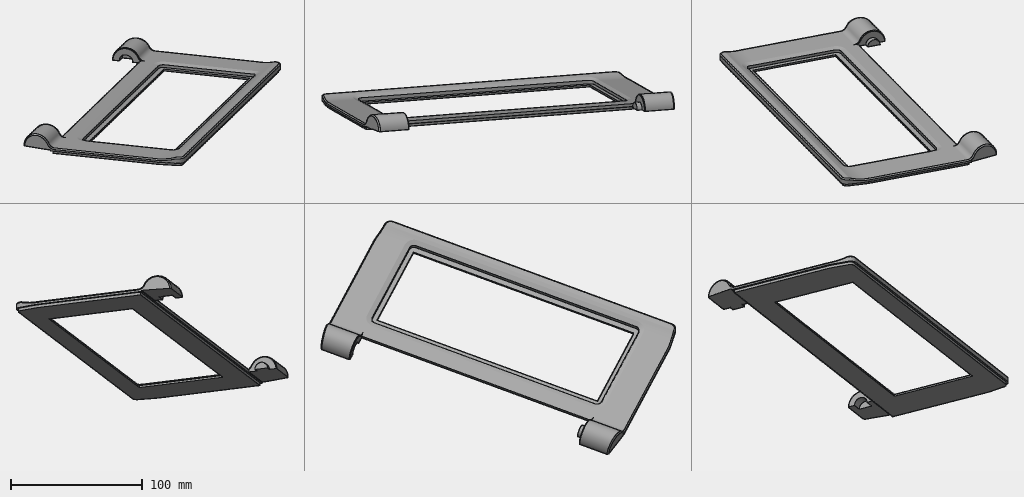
import cadquery as cq
import math

LENGTH_X = 127.7
LENGTH_Y = 245.5
HEIGHT = 14.0

LEDGE_Z = 1.5
STEP_Z = 2.2
HINGE_Z = 3.0
PLATE_Z = 4.7
RIM_Z = 6.9

KNUCKLE_END_Y = 119.5
LEFT_BEND_X = 20.5
RIGHT_BEND_X = 108.5
RIM_END_Y = 120.0
BEND_RADIUS = 24.5
CORNER_RADIUS = 5.0
PLATE_LEFT_X = 22.5
FOOT_INSET = 1.5
EDGE_CHAMFER = 1.0

RAMP_START_X = 108.3
RAMP_END_X = 122.8
RAMP_CREST_RADIUS = 2.0

KNUCKLE_RADIUS = HEIGHT - HINGE_Z
KNUCKLE_INNER_Y = 95.3
KNUCKLE_ROOT_X = 25.8
INNER_CHAMFER = 0.61
PIN_RADIUS = 5.2
PIN_LENGTH = 4.0
SOCKET_CLEARANCE = 0.2
SOCKET_DEPTH = 7.4

RECESS_LEFT_X = 38.3
RECESS_RIGHT_X = 115.5
RECESS_HALF_Y = 95.3
RECESS_CORNER_RADIUS = 3.7
RECESS_SLOPE_WIDTH = 4.0
RECESS_SLOPE_DROP = 1.0
LEDGE_WIDTH_X = 4.5
LEDGE_WIDTH_Y = 3.7

HALF_Y = LENGTH_Y / 2
TOLERANCE = 0.02


def extrude_along_y(profile, y_from, y_to):
    """Extrude a closed XZ profile between two Y positions."""
    return profile.extrude(y_from - y_to).translate((0, y_from, 0))


def box_between(x_range, half_y, z_range):
    """Box between two X and two Z positions, centred on Y = 0."""
    size_x = x_range[1] - x_range[0]
    size_z = z_range[1] - z_range[0]
    return (
        cq.Workplane("XY")
        .box(size_x, 2 * half_y, size_z, centered=(False, True, False))
        .translate((x_range[0], 0, z_range[0]))
    )


def plan_prism():
    """Vertical prism of the plan outline: tapered ends, blended bends and rounded rim corners."""
    lower_side = [
        (0, -KNUCKLE_END_Y),
        (LEFT_BEND_X, -HALF_Y),
        (RIGHT_BEND_X, -HALF_Y),
        (LENGTH_X, -RIM_END_Y),
    ]
    upper_side = [(x, -y) for x, y in reversed(lower_side)]
    prism = cq.Workplane("XY").polyline(lower_side + upper_side).close().extrude(HEIGHT)
    bends = cq.selectors.BoxSelector((LEFT_BEND_X - 2.5, -LENGTH_Y, 0), (RIGHT_BEND_X + 2.5, LENGTH_Y, HEIGHT))
    prism = prism.edges("|Z").edges(bends).fillet(BEND_RADIUS)
    return prism.edges("|Z and >X").fillet(CORNER_RADIUS)


def plate():
    """Flat plate whose right side curves up to the raised rim."""
    run = RAMP_END_X - RAMP_START_X
    rise = RIM_Z - PLATE_Z
    radius_sum = (run**2 + rise**2) / (2 * rise)
    foot_radius = radius_sum - RAMP_CREST_RADIUS
    angle = math.asin(run / radius_sum)

    def foot_point(a):
        return RAMP_START_X + foot_radius * math.sin(a), PLATE_Z + foot_radius * (1 - math.cos(a))

    def crest_point(a):
        return RAMP_END_X - RAMP_CREST_RADIUS * math.sin(a), RIM_Z - RAMP_CREST_RADIUS * (1 - math.cos(a))

    profile = (
        cq.Workplane("XZ")
        .moveTo(PLATE_LEFT_X, STEP_Z)
        .lineTo(PLATE_LEFT_X, PLATE_Z)
        .lineTo(RAMP_START_X, PLATE_Z)
        .threePointArc(foot_point(angle / 2), foot_point(angle))
        .threePointArc(crest_point(angle / 2), (RAMP_END_X, RIM_Z))
        .lineTo(LENGTH_X, RIM_Z)
        .lineTo(LENGTH_X, STEP_Z)
        .close()
    )
    return extrude_along_y(profile, -HALF_Y, HALF_Y)


def knuckle():
    """Half-round knuckle on the -Y side, flowing into the plate through a concave blend."""
    reach = KNUCKLE_ROOT_X - KNUCKLE_RADIUS
    drop = PLATE_Z - HINGE_Z
    blend_radius = (reach**2 + drop**2 - KNUCKLE_RADIUS**2) / (2 * (KNUCKLE_RADIUS - drop))
    blend_z = PLATE_Z + blend_radius
    tangent_angle = math.atan2(blend_z - HINGE_Z, reach)
    tangent_point = (
        KNUCKLE_RADIUS + KNUCKLE_RADIUS * math.cos(tangent_angle),
        HINGE_Z + KNUCKLE_RADIUS * math.sin(tangent_angle),
    )
    blend_middle_angle = (tangent_angle + math.pi / 2) / 2
    blend_middle = (
        KNUCKLE_ROOT_X - blend_radius * math.cos(blend_middle_angle),
        blend_z - blend_radius * math.sin(blend_middle_angle),
    )
    profile = (
        cq.Workplane("XZ")
        .moveTo(0, HINGE_Z)
        .threePointArc((KNUCKLE_RADIUS, HEIGHT), tangent_point)
        .threePointArc(blend_middle, (KNUCKLE_ROOT_X, PLATE_Z))
        .lineTo(KNUCKLE_ROOT_X, HINGE_Z)
        .close()
    )
    solid = extrude_along_y(profile, -HALF_Y, -KNUCKLE_INNER_Y)
    return solid.faces(">Y").edges("%CIRCLE").chamfer(INNER_CHAMFER)


def half_rod(radius, y_from, y_to):
    """Upper half of a rod on the hinge axis."""
    profile = (
        cq.Workplane("XZ")
        .moveTo(KNUCKLE_RADIUS - radius, HINGE_Z)
        .threePointArc((KNUCKLE_RADIUS, HINGE_Z + radius), (KNUCKLE_RADIUS + radius, HINGE_Z))
        .close()
    )
    return extrude_along_y(profile, y_from, y_to)


def foot():
    """Lower layer, set in from the outline of the plate all round."""
    layer = plan_prism().intersect(box_between((PLATE_LEFT_X, LENGTH_X), HALF_Y, (0, STEP_Z)))
    return layer.faces("<Z").wires().toPending().offset2D(-FOOT_INSET).extrude(STEP_Z, combine=False)


def recess_walls():
    """Cutter with upright walls and rounded corners, reaching down to the ledge around the window."""
    cutter = box_between((RECESS_LEFT_X, RECESS_RIGHT_X), RECESS_HALF_Y, (LEDGE_Z, HEIGHT))
    return cutter.edges("|Z").fillet(RECESS_CORNER_RADIUS)


def window():
    """Square-cornered through opening inside the ledge."""
    x_range = (RECESS_LEFT_X + LEDGE_WIDTH_X, RECESS_RIGHT_X - LEDGE_WIDTH_X)
    return box_between(x_range, RECESS_HALF_Y - LEDGE_WIDTH_Y, (0, HEIGHT))


def is_outer_top_edge(edge):
    """True where the top surface meets the side walls of the plan outline."""
    box = edge.BoundingBox()
    upright = box.xlen < TOLERANCE and box.ylen < TOLERANCE
    end_zone_y = RIM_END_Y - CORNER_RADIUS
    near_end = box.ymin > end_zone_y or box.ymax < -end_zone_y
    at_rim = box.xmin > LENGTH_X - TOLERANCE
    above_hinge = box.zmax > HINGE_Z + TOLERANCE
    return above_hinge and (near_end or at_rim) and not upright


def is_recess_top_edge(edge):
    """True for the loop where the recess walls meet the top surface."""
    box = edge.BoundingBox()
    inside_x = box.xmin > RECESS_LEFT_X - TOLERANCE and box.xmax < RECESS_RIGHT_X + TOLERANCE
    inside_y = max(abs(box.ymin), abs(box.ymax)) < RECESS_HALF_Y + TOLERANCE
    return inside_x and inside_y and box.zmin > PLATE_Z - TOLERANCE


body = plate().union(knuckle()).union(knuckle().mirror("XZ"))
body = body.intersect(plan_prism())
body = body.edges().filter(is_outer_top_edge).chamfer(EDGE_CHAMFER)

body = body.union(foot())

body = body.cut(recess_walls())
body = body.edges().filter(is_recess_top_edge).chamfer(RECESS_SLOPE_WIDTH, RECESS_SLOPE_DROP)
body = body.cut(window())

pin = half_rod(PIN_RADIUS, -KNUCKLE_INNER_Y - PIN_LENGTH, -KNUCKLE_INNER_Y + PIN_LENGTH)
socket = half_rod(PIN_RADIUS + SOCKET_CLEARANCE, KNUCKLE_INNER_Y, KNUCKLE_INNER_Y + SOCKET_DEPTH)
result = body.union(pin).cut(socket)